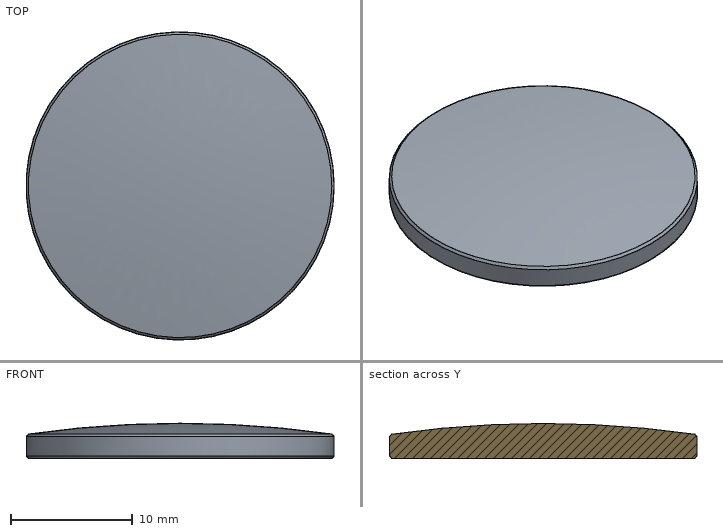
import cadquery as cq

diameter = 25.4
height = 2.92
dome_rise = 0.9
chamfer = 0.2

radius = diameter / 2
dome_edge_radius = radius - chamfer
dome_edge_height = height - dome_rise

sphere_radius = (dome_edge_radius**2 + dome_rise**2) / (2 * dome_rise)

mid_radius = dome_edge_radius / 2
mid_height = height - sphere_radius + (sphere_radius**2 - mid_radius**2) ** 0.5

profile = (
    cq.Workplane("XZ")
    .lineTo(radius - chamfer, 0)
    .lineTo(radius, chamfer)
    .lineTo(radius, dome_edge_height - chamfer)
    .lineTo(dome_edge_radius, dome_edge_height)
    .threePointArc((mid_radius, mid_height), (0, height))
    .close()
)

result = profile.revolve(360, (0, 0, 0), (0, 1, 0))